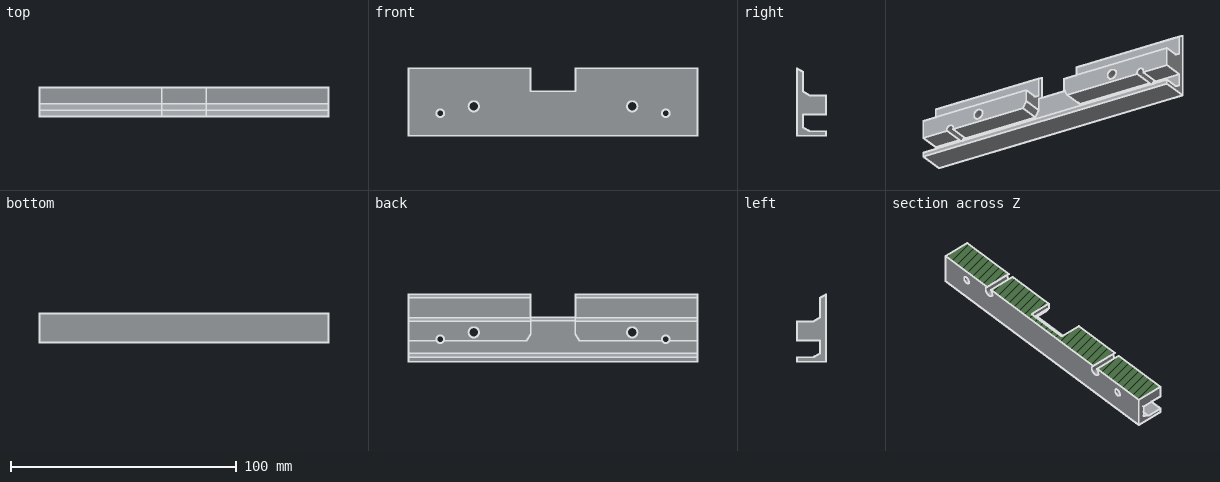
import cadquery as cq
import math

length = 128.0
depth = 13.0
height = 30.0

plate_thickness = 2.8
flange_thickness = 2.0
block_bottom = 9.3
block_top = 17.9
bevel_start = 5.8
bevel_slope = math.tan(math.radians(30))

notch_width = 19.7
notch_floor = 19.8
undercut_height = 3.1
undercut_slope = math.tan(math.radians(60))

large_hole_diameter = 4.5
large_hole_x = 35.1
large_hole_z = 13.0
small_hole_diameter = 3.3
small_hole_x = 49.9
small_hole_z = 10.0


def profile_bar():
    """Extrude the plate, block and flange section along X."""
    plate_bevel_drop = plate_thickness * bevel_slope
    root_bevel_rise = (bevel_start - plate_thickness) * bevel_slope
    outline = [
        (0, 0),
        (depth, 0),
        (depth, flange_thickness),
        (bevel_start, flange_thickness),
        (plate_thickness, flange_thickness + root_bevel_rise),
        (plate_thickness, block_bottom),
        (depth, block_bottom),
        (depth, block_top),
        (bevel_start, block_top),
        (plate_thickness, block_top + root_bevel_rise),
        (plate_thickness, height - plate_bevel_drop),
        (0, height),
    ]
    section = cq.Workplane("YZ").polyline(outline).close()
    return section.extrude(length / 2, both=True)


def notch():
    """Cut the plate down to a sloping floor and remove the block behind it."""
    outline = [
        (0, height),
        (0, notch_floor),
        (plate_thickness, notch_floor - plate_thickness * bevel_slope),
        (plate_thickness, block_bottom),
        (depth, block_bottom),
        (depth, height),
    ]
    section = cq.Workplane("YZ").polyline(outline).close()
    return section.extrude(notch_width / 2, both=True)


def end_undercuts():
    """Bevel the lower corner of each block end that faces the notch."""
    half_width = notch_width / 2
    foot_x = half_width + undercut_height / undercut_slope
    outline = [
        (-foot_x, block_bottom),
        (foot_x, block_bottom),
        (half_width, block_bottom + undercut_height),
        (-half_width, block_bottom + undercut_height),
    ]
    section = cq.Workplane("XZ", origin=(0, plate_thickness, 0)).polyline(outline).close()
    return section.extrude(plate_thickness - depth)


def hole_pair(diameter, x, z):
    """Two holes through the full depth, one on each side of the centre."""
    centres = [(-x, z), (x, z)]
    front = cq.Workplane("XZ").pushPoints(centres)
    return front.circle(diameter / 2).extrude(-depth)


result = (
    profile_bar()
    .cut(notch())
    .cut(end_undercuts())
    .cut(hole_pair(large_hole_diameter, large_hole_x, large_hole_z))
    .cut(hole_pair(small_hole_diameter, small_hole_x, small_hole_z))
)